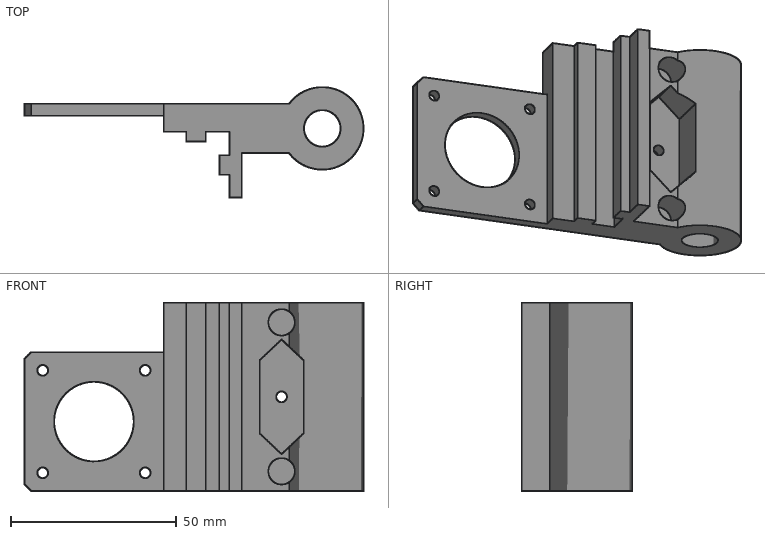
import cadquery as cq

total_length = 102.5
height = 57.0
mid_height = height / 2

tube_diameter = 25.0
tube_bore = 11.0
tube_x = total_length - tube_diameter / 2

arm_thickness = 15.0
back_y = arm_thickness / 2
arm_front_y = -arm_thickness / 2

rail_width = 19.9
seat_x = 61.9
seat_y = -1.0
flange_thickness = 3.8
key_width = 5.9
key_height = 3.0
key_offset = 10.0
body_start_x = seat_x - rail_width
flange_end_y = seat_y - rail_width

plate_size = body_start_x
plate_thickness = 3.7
plate_chamfer = 2.0
plate_center = plate_size / 2
motor_bore = 24.0
screw_diameter = 3.2
screw_pitch = 31.0

clamp_x = 77.7
bolt_diameter = 8.0
bolt_spacing = 45.0
pocket_width = 13.3
pocket_straight = 22.0
pocket_height = 34.6
pocket_depth = 10.0
pocket_floor_y = arm_front_y + pocket_depth


def box(x_min, x_max, y_min, y_max, z_height):
    """Box standing on Z = 0 between the given X and Y limits."""
    size_x = x_max - x_min
    size_y = y_max - y_min
    block = cq.Workplane("XY").box(size_x, size_y, z_height, centered=False)
    return block.translate((x_min, y_min, 0))


def front_plane(y):
    """Workplane facing -Y, with local axes along global X and Z."""
    return cq.Workplane("XZ", origin=(0, y, 0))


def make_body():
    """Arm, rail seat, keys and tube, all at full height."""
    half_key = key_width / 2
    key_x = seat_x - key_offset
    key_y = seat_y - key_offset
    body = box(body_start_x, seat_x, seat_y, back_y, height)
    body = body.union(box(seat_x, tube_x, arm_front_y, back_y, height))
    body = body.union(box(seat_x, seat_x + flange_thickness, flange_end_y, back_y, height))
    body = body.union(box(key_x - half_key, key_x + half_key, seat_y - key_height, seat_y, height))
    body = body.union(box(seat_x - key_height, seat_x, key_y - half_key, key_y + half_key, height))
    tube = cq.Workplane("XY").center(tube_x, 0).circle(tube_diameter / 2).extrude(height)
    bore = cq.Workplane("XY").center(tube_x, 0).circle(tube_bore / 2).extrude(height)
    return body.union(tube).cut(bore)


def make_motor_plate():
    """Plate with two chamfered outer corners, a motor bore and four screw holes."""
    plate = box(0, plate_size, back_y - plate_thickness, back_y, plate_size)
    plate = plate.edges("|Y and <X").chamfer(plate_chamfer)
    face = front_plane(back_y).center(plate_center, plate_center)
    bore = face.circle(motor_bore / 2).extrude(plate_thickness)
    screws = face.rect(screw_pitch, screw_pitch, forConstruction=True).vertices()
    screws = screws.circle(screw_diameter / 2).extrude(plate_thickness)
    return plate.cut(bore).cut(screws)


def make_clamp_cuts():
    """Pointed pocket with a through screw hole, and a round pocket above and below it."""
    tube_radius = tube_diameter / 2
    half_width = pocket_width / 2
    half_straight = pocket_straight / 2
    half_height = pocket_height / 2
    outline = [
        (0, half_height),
        (half_width, half_straight),
        (half_width, -half_straight),
        (0, -half_height),
        (-half_width, -half_straight),
        (-half_width, half_straight),
    ]
    pocket = front_plane(pocket_floor_y).center(clamp_x, mid_height).polyline(outline).close()
    pocket = pocket.extrude(tube_radius + pocket_floor_y)
    bolt_centers = [(0, -bolt_spacing / 2), (0, bolt_spacing / 2)]
    bolts = front_plane(pocket_floor_y).center(clamp_x, mid_height).pushPoints(bolt_centers)
    bolts = bolts.circle(bolt_diameter / 2).extrude(tube_radius + pocket_floor_y)
    screw = front_plane(tube_radius).center(clamp_x, mid_height)
    screw = screw.circle(screw_diameter / 2).extrude(tube_diameter)
    return pocket.union(bolts).union(screw)


result = make_body().union(make_motor_plate()).cut(make_clamp_cuts())